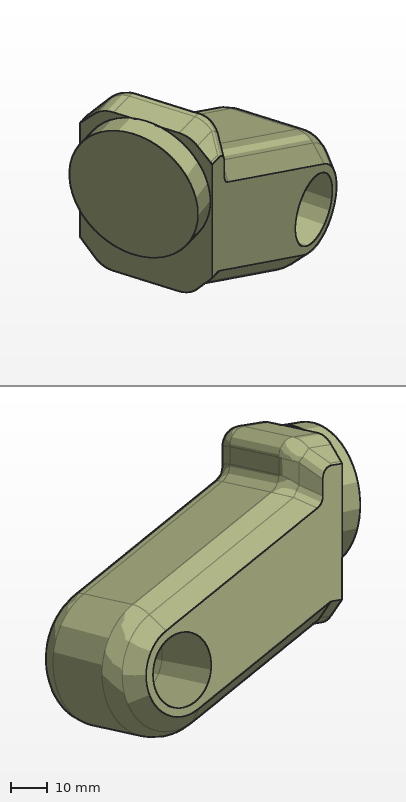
import cadquery as cq
import math

body_width = 41.1
eye_radius = 20.0
hole_diameter = 21.0
arm_slope = math.atan(0.5)
side_chamfer = 7.0
long_edge_radius = 8.0
corner_radius = 5.0

selection_margin = 0.01

overall_length = 84.6
overall_height = 77.6
disc_diameter = 40.0
disc_thickness = 7.0
head_pad_thickness = 4.0
head_block_thickness = 10.0
head_top = 57.1

disc_end_y = eye_radius - overall_length
head_front_y = disc_end_y + disc_thickness
block_front_y = head_front_y + head_pad_thickness
block_back_y = block_front_y + head_block_thickness
disc_center_z = overall_height - eye_radius - disc_diameter / 2

tangent_y = eye_radius * math.sin(arm_slope)
tangent_z = eye_radius * math.cos(arm_slope)


def flank_height(y, side):
    """Height of the upper (side=1) or lower (side=-1) flank at a given Y."""
    return -y * math.tan(arm_slope) + side * eye_radius / math.cos(arm_slope)


def long_edges(solid, half_width):
    """Edges at one half width that run along the arm outline, on both sides."""
    found = []
    for sign in (-1, 1):
        x = sign * half_width
        box = cq.selectors.BoxSelector(
            (x - selection_margin, block_front_y + selection_margin, -overall_height),
            (x + selection_margin, overall_length, overall_height),
        )
        found += solid.edges(box).vals()
    return solid.newObject(found)


def arm_blank():
    """Sharp-edged arm and head, extruded evenly about X = 0."""
    return (
        cq.Workplane("YZ")
        .moveTo(block_front_y, flank_height(block_front_y, -1))
        .lineTo(-tangent_y, -tangent_z)
        .threePointArc((eye_radius, 0), (tangent_y, tangent_z))
        .lineTo(block_back_y, flank_height(block_back_y, 1))
        .lineTo(block_back_y, head_top)
        .lineTo(block_front_y, head_top)
        .close()
        .extrude(body_width / 2, both=True)
    )


def corner_edge(solid, y, z):
    """The flat edge across the body at one profile corner."""
    return solid.edges(cq.selectors.NearestToPointSelector((0, y, z)))


def rounded_arm():
    """Arm with chamfered sides, softened long edges and rounded head corners."""
    arm = arm_blank()
    arm = long_edges(arm, body_width / 2).chamfer(side_chamfer)
    arm = long_edges(arm, body_width / 2 - side_chamfer).fillet(long_edge_radius)
    shoulder_z = flank_height(block_back_y, 1)
    arm = corner_edge(arm, block_back_y, shoulder_z).fillet(corner_radius)
    return corner_edge(arm, block_back_y, head_top).fillet(corner_radius)


def head_pad(arm):
    """Extend the flat end of the arm straight toward -Y."""
    return arm.faces("<Y").wires().toPending().workplane().extrude(head_pad_thickness)


def mounting_disc():
    return (
        cq.Workplane("XZ", origin=(0, head_front_y, disc_center_z))
        .circle(disc_diameter / 2)
        .extrude(disc_thickness)
    )


def pivot_hole():
    return cq.Workplane("YZ").circle(hole_diameter / 2).extrude(body_width, both=True)


result = head_pad(rounded_arm()).union(mounting_disc()).cut(pivot_hole())